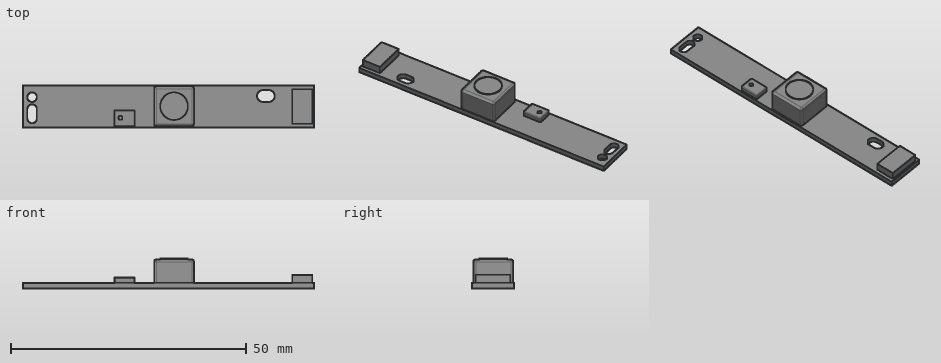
import cadquery as cq

BOARD_LENGTH = 62.0
BOARD_WIDTH = 9.0
BOARD_THICKNESS = 1.2
TOTAL_HEIGHT = 6.4

PIN_HOLE_DIAMETER = 2.0
PIN_HOLE_X = 2.0
PIN_HOLE_Y = 2.0
LEFT_SLOT_LENGTH = 3.95
LEFT_SLOT_Y = -1.55

RIGHT_SLOT_LENGTH = 3.7
RIGHT_SLOT_WIDTH = 2.5
RIGHT_SLOT_X = 51.7
RIGHT_SLOT_Y = 2.25

CONNECTOR_LENGTH = 4.35
CONNECTOR_WIDTH = 7.3
CONNECTOR_HEIGHT = 1.75
CONNECTOR_END_GAP = 0.4

HOUSING_SIDE = 8.5
HOUSING_X = 32.2
HOUSING_Y = 0.05
HOUSING_ROUNDING = 0.5
DISC_DIAMETER = 5.9
DISC_THICKNESS = 0.2

CHIP_LENGTH = 4.35
CHIP_WIDTH = 3.35
CHIP_HEIGHT = 1.2
CHIP_X = 21.65
CHIP_Y = -2.5
CHIP_ROUNDING = 0.2
PORT_DIAMETER = 0.85
PORT_X = 20.8
PORT_Y = -2.4


def block_on_board(length, width, height, x, y):
    """Plain block standing on the top face of the board."""
    base = cq.Workplane("XY", origin=(x, y, BOARD_THICKNESS))
    return base.box(length, width, height, centered=(True, True, False))


def rounded_block(length, width, height, x, y, rounding):
    """Block on the board with rounded upright and top edges."""
    block = block_on_board(length, width, height, x, y)
    return block.edges("|Z or >Z").fillet(rounding)


def make_board():
    board = cq.Workplane("XY").box(
        BOARD_LENGTH, BOARD_WIDTH, BOARD_THICKNESS, centered=(False, True, False)
    )
    openings = (
        cq.Workplane("XY")
        .center(PIN_HOLE_X, PIN_HOLE_Y)
        .circle(PIN_HOLE_DIAMETER / 2)
        .extrude(BOARD_THICKNESS)
    )
    slots = [
        (PIN_HOLE_X, LEFT_SLOT_Y, LEFT_SLOT_LENGTH, PIN_HOLE_DIAMETER, 90),
        (RIGHT_SLOT_X, RIGHT_SLOT_Y, RIGHT_SLOT_LENGTH, RIGHT_SLOT_WIDTH, 0),
    ]
    for x, y, length, width, angle in slots:
        slot = cq.Workplane("XY", origin=(x, y, 0)).slot2D(length, width, angle)
        openings = openings.union(slot.extrude(BOARD_THICKNESS))
    return board.cut(openings)


def make_connector():
    x = BOARD_LENGTH - CONNECTOR_END_GAP - CONNECTOR_LENGTH / 2
    return block_on_board(CONNECTOR_LENGTH, CONNECTOR_WIDTH, CONNECTOR_HEIGHT, x, 0)


def make_housing():
    disc_base = TOTAL_HEIGHT - DISC_THICKNESS
    height = disc_base - BOARD_THICKNESS
    housing = rounded_block(
        HOUSING_SIDE, HOUSING_SIDE, height, HOUSING_X, HOUSING_Y, HOUSING_ROUNDING
    )
    disc = (
        cq.Workplane("XY", origin=(HOUSING_X, HOUSING_Y, disc_base))
        .circle(DISC_DIAMETER / 2)
        .extrude(DISC_THICKNESS)
    )
    return housing.union(disc)


def make_chip():
    chip = rounded_block(CHIP_LENGTH, CHIP_WIDTH, CHIP_HEIGHT, CHIP_X, CHIP_Y, CHIP_ROUNDING)
    port = (
        cq.Workplane("XY", origin=(PORT_X, PORT_Y, BOARD_THICKNESS))
        .circle(PORT_DIAMETER / 2)
        .extrude(CHIP_HEIGHT)
    )
    return chip.cut(port)


result = make_board().union(make_connector()).union(make_housing()).union(make_chip())